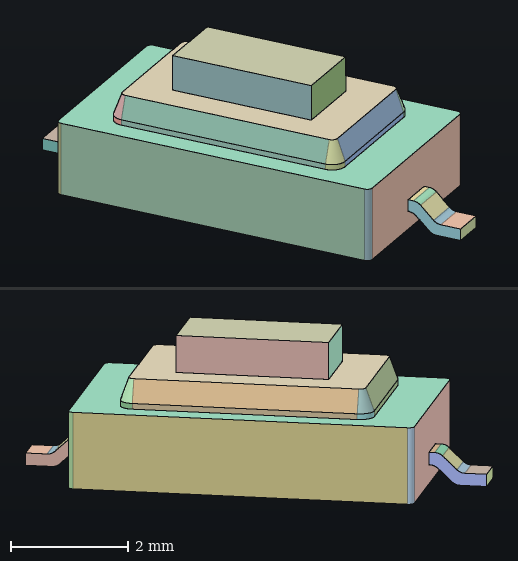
import cadquery as cq
import math

body_length = 6.0
body_width = 3.5
body_height = 1.35
body_corner_radius = 0.1

cover_length = 4.4
cover_width = 2.7
cover_corner_radius = 0.25
cover_rim_height = 0.1
cover_height = 0.5
cover_side_angle = 20.0

button_length = 2.65
button_width = 1.3
total_height = 2.5

lead_span = 8.0
lead_width = 0.6
lead_thickness = 0.22
lead_top = 0.56
lead_bend_radius = 0.2
lead_slope_angle = 43.0
lead_shoulder = 0.1


def make_body():
    block = cq.Workplane("XY").box(body_length, body_width, body_height, centered=(True, True, False))
    return block.edges("|Z").fillet(body_corner_radius)


def make_cover():
    rim = (
        cq.Workplane("XY")
        .workplane(offset=body_height)
        .rect(cover_length, cover_width)
        .extrude(cover_rim_height)
        .edges("|Z")
        .fillet(cover_corner_radius)
    )
    slope_height = cover_height - cover_rim_height
    rim_outline = rim.faces(">Z").wires().toPending().workplane()
    crown = rim_outline.extrude(slope_height, combine=False, taper=cover_side_angle)
    return rim.union(crown)


def make_button():
    button_base = body_height + cover_height
    return (
        cq.Workplane("XY")
        .workplane(offset=button_base)
        .rect(button_length, button_width)
        .extrude(total_height - button_base)
    )


def make_lead():
    """Lead on the +X side: shoulder, downward slope and flat foot, with four rounded bends."""
    body_face = body_length / 2
    tip = lead_span / 2
    slope = math.radians(lead_slope_angle)
    drop = lead_top - lead_thickness
    run = drop / math.tan(slope)
    half_turn = math.tan(slope / 2)
    upper_bend = body_face + lead_shoulder + lead_bend_radius * half_turn
    lower_bend = upper_bend - lead_thickness * half_turn
    outline = [
        (body_face, lead_top),
        (upper_bend, lead_top),
        (upper_bend + run, lead_thickness),
        (tip, lead_thickness),
        (tip, 0),
        (lower_bend + run, 0),
        (lower_bend, drop),
        (body_face, drop),
    ]
    strip = cq.Workplane("XZ").polyline(outline).close().extrude(lead_width / 2, both=True)
    bend_edges = strip.edges("|Y").edges("not(<X or >X)")
    return bend_edges.fillet(lead_bend_radius)


right_lead = make_lead()
left_lead = right_lead.mirror("YZ")

result = make_body().union(make_cover()).union(make_button()).union(right_lead).union(left_lead)